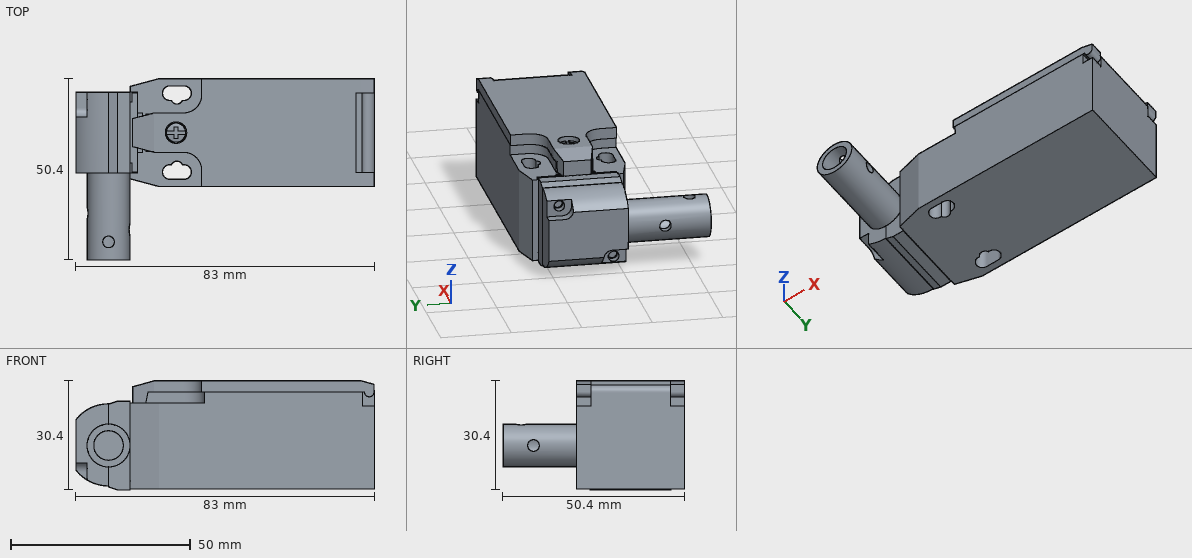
import cadquery as cq
import math

LENGTH = 83.0
HOUSING_WIDTH = 30.05
HOUSING_FRONT = 15.0
HOUSING_BOTTOM = 0.25
DECK_TOP = 24.2
SEAM = 27.2
TAPER_END = 23.1
FRONT_HALF_WIDTH = 12.9
WALL_TANGENT_Y = 10.5
RISER_HALF_WIDTH = 5.2
RISER_SHOULDER = 35.7
RISER_FOOT = 19.4
RISER_LIP = 20.0

SLOT_CENTER_X = 28.05
SLOT_CENTER_Y = 10.95
SLOT_LENGTH = 8.0
SLOT_WIDTH = 4.0
SLOT_BULGE_DIAMETER = 3.3
SLOT_BULGE_Y = 9.6

COVER_TOP = 30.4
COVER_END = 82.8
COVER_SHOULDER = 34.95
TONGUE_HALF_WIDTH = 5.5
NOSE_FRONT = 15.8
NOSE_HALF_WIDTH = 3.9
NOSE_TOP = 28.7
NOSE_SLOPE_END = 21.75
BACK_SLOPE_START = 79.3
BACK_SLOPE_END_Z = 29.4

HINGE_HALF_WIDTH = 11.0
HINGE_WINDOW_FRONT = 77.85
HINGE_NOTCH_FRONT = 79.6
HINGE_NOTCH_FLOOR = 23.3
KNUCKLE_RADIUS = 1.3
LIP_CREST_X = 80.85
LIP_RISE_RADIUS = 1.4
LIP_CREST_Z = 29.2
LIP_FALL_RADIUS = 2.15

COVER_SCREW_X = 27.8
COVER_SCREW_BORE = 6.0
COVER_SCREW_HEAD = 5.3
COVER_SCREW_SHANK = 3.3
COVER_SCREW_SEAT = 28.4
COVER_SCREW_RIM = 29.2
COVER_SCREW_CROWN = 29.55
COVER_SCREW_TIP = 18.3
CROSS_WIDTH = 1.0
CROSS_SHORT = 3.2
CROSS_FLOOR = 28.9

HEAD_WIDTH = 22.5
BASE_TOP = 24.7
HEAD_AXIS_Z = BASE_TOP / 2
HEAD_SPLIT = 9.05
BASE_FLAT_START = 11.5
BASE_SPLIT_HALF_HEIGHT = 11.5
CAP_AXIS_Z = 12.5
CAP_RADIUS = 11.45
PLUG_END = 17.1
PLUG_BOTTOM = 2.5
PLUG_CLEARANCE = 0.25
NECK_END = 15.5
NECK_HALF_WIDTH = 8.5
RELIEF_END = 18.5
RELIEF_DEPTH = 0.25

POCKET_DEPTH = 3.1
POCKET_WIDTH = 7.0
POCKET_RADIUS = 2.5
POCKET_FLOOR_HEIGHT = 5.1
HEAD_SCREW_Y = 7.7
HEAD_SCREW_HEIGHT = 8.05
HEAD_SCREW_BORE = 3.0
HEAD_SCREW_DIAMETER = 2.6
HEAD_SCREW_FACE = 5.4
HEAD_SCREW_TIP = 12.45

SHAFT_END = -35.4
SHAFT_DIAMETER = 11.95
JOURNAL_DIAMETER = 10.0
JOURNAL_END = 6.6
SHAFT_BORE = 8.2
SHAFT_BORE_END = -19.9
PIN_HOLE = 3.2
PIN_HOLE_FRONT_Y = -22.4
PIN_HOLE_BACK_Y = -27.0
PIN_HOLE_TOP_Y = -30.4

HALF_WIDTH = HOUSING_WIDTH / 2
HEAD_HALF_WIDTH = HEAD_WIDTH / 2


def block(x_min, x_max, y_min, y_max, z_min, z_max):
    size = (x_max - x_min, y_max - y_min, z_max - z_min)
    return cq.Workplane("XY").box(*size, centered=False).translate((x_min, y_min, z_min))


def side_profile(half_width):
    """Workplane in X and Z, ready to extrude from +half_width to -half_width in Y."""
    return cq.Workplane("XZ", origin=(0, half_width, 0))


def rod(x, y, diameter, z_min, z_max):
    return cq.Workplane("XY", origin=(x, y, z_min)).circle(diameter / 2).extrude(z_max - z_min)


def rod_x(y, z, diameter, x_min, x_max):
    return cq.Workplane("YZ", origin=(x_min, y, z)).circle(diameter / 2).extrude(x_max - x_min)


def rod_y(x, z, diameter, y_min, y_max):
    return cq.Workplane("XZ", origin=(x, y_max, z)).circle(diameter / 2).extrude(y_max - y_min)


def tongue_outline(front, front_half, taper_end, half_width, shoulder, back):
    """Plan outline: a central tongue that widens through concave corners to the full width."""
    radius = WALL_TANGENT_Y - half_width
    near_mid = radius * (1 - math.sqrt(0.5))
    return (
        cq.Workplane("XY")
        .moveTo(front, -front_half)
        .lineTo(taper_end, -half_width)
        .lineTo(shoulder - radius, -half_width)
        .threePointArc((shoulder - near_mid, -half_width - near_mid), (shoulder, -WALL_TANGENT_Y))
        .lineTo(shoulder, -HALF_WIDTH)
        .lineTo(back, -HALF_WIDTH)
        .lineTo(back, HALF_WIDTH)
        .lineTo(shoulder, HALF_WIDTH)
        .lineTo(shoulder, WALL_TANGENT_Y)
        .threePointArc((shoulder - near_mid, half_width + near_mid), (shoulder - radius, half_width))
        .lineTo(taper_end, half_width)
        .lineTo(front, front_half)
        .close()
    )


def riser_side(front_bottom, front_top, back):
    """Block over the full width from the deck to the seam, with a sloped front."""
    return (
        side_profile(HALF_WIDTH)
        .polyline([(front_bottom, DECK_TOP), (back, DECK_TOP), (back, SEAM), (front_top, SEAM)])
        .close()
        .extrude(HOUSING_WIDTH)
    )


def mounting_slot(side):
    slot = (
        cq.Workplane("XY", origin=(SLOT_CENTER_X, side * SLOT_CENTER_Y, HOUSING_BOTTOM))
        .slot2D(SLOT_LENGTH, SLOT_WIDTH)
        .extrude(DECK_TOP - HOUSING_BOTTOM)
    )
    bulge = rod(SLOT_CENTER_X, side * SLOT_BULGE_Y, SLOT_BULGE_DIAMETER, HOUSING_BOTTOM, DECK_TOP)
    return slot.union(bulge)


def hinge_lip():
    """Rounded lip at the back of the housing that shows through the window in the cover."""
    start = LIP_CREST_X - LIP_RISE_RADIUS
    rise = LIP_RISE_RADIUS * math.sqrt(0.5)
    fall = LIP_FALL_RADIUS * math.sqrt(0.5)
    rise_z = LIP_CREST_Z - LIP_RISE_RADIUS
    fall_z = LIP_CREST_Z - LIP_FALL_RADIUS
    return (
        side_profile(HINGE_HALF_WIDTH)
        .moveTo(start, HINGE_NOTCH_FLOOR)
        .lineTo(start, rise_z)
        .threePointArc((LIP_CREST_X - rise, rise_z + rise), (LIP_CREST_X, LIP_CREST_Z))
        .threePointArc((LIP_CREST_X + fall, fall_z + fall), (LENGTH, fall_z))
        .lineTo(LENGTH, HINGE_NOTCH_FLOOR)
        .close()
        .extrude(2 * HINGE_HALF_WIDTH)
    )


def make_housing():
    body = (
        cq.Workplane("XY", origin=(0, 0, HOUSING_BOTTOM))
        .polyline([
            (HOUSING_FRONT, -FRONT_HALF_WIDTH),
            (TAPER_END, -HALF_WIDTH),
            (LENGTH, -HALF_WIDTH),
            (LENGTH, HALF_WIDTH),
            (TAPER_END, HALF_WIDTH),
            (HOUSING_FRONT, FRONT_HALF_WIDTH),
        ])
        .close()
        .extrude(DECK_TOP - HOUSING_BOTTOM)
    )
    riser = tongue_outline(
        RISER_FOOT, RISER_HALF_WIDTH, RISER_LIP, RISER_HALF_WIDTH, RISER_SHOULDER, LENGTH
    ).extrude(SEAM)
    body = body.union(riser.intersect(riser_side(RISER_FOOT, RISER_LIP, LENGTH)))

    body = body.cut(block(HINGE_NOTCH_FRONT, LENGTH, -HALF_WIDTH, HALF_WIDTH, HINGE_NOTCH_FLOOR, SEAM))
    body = body.union(hinge_lip())

    for side in (-1, 1):
        body = body.cut(mounting_slot(side))

    body = body.cut(
        block(HOUSING_FRONT, PLUG_END, -HEAD_HALF_WIDTH, HEAD_HALF_WIDTH, PLUG_BOTTOM, DECK_TOP)
    )
    body = body.cut(
        block(PLUG_END, RELIEF_END, -TONGUE_HALF_WIDTH, TONGUE_HALF_WIDTH, DECK_TOP - RELIEF_DEPTH, DECK_TOP)
    )
    return body.cut(rod(COVER_SCREW_X, 0, COVER_SCREW_SHANK, COVER_SCREW_TIP, SEAM))


def make_cover():
    side = (
        side_profile(HALF_WIDTH)
        .polyline([
            (NOSE_FRONT, DECK_TOP),
            (RISER_FOOT, DECK_TOP),
            (RISER_LIP, SEAM),
            (COVER_END, SEAM),
            (COVER_END, BACK_SLOPE_END_Z),
            (BACK_SLOPE_START, COVER_TOP),
            (NOSE_SLOPE_END, COVER_TOP),
            (NOSE_FRONT, NOSE_TOP),
        ])
        .close()
        .extrude(HOUSING_WIDTH)
    )
    plan = tongue_outline(
        NOSE_FRONT, NOSE_HALF_WIDTH, NOSE_SLOPE_END, TONGUE_HALF_WIDTH, COVER_SHOULDER, COVER_END
    ).extrude(COVER_TOP)
    cover = side.intersect(plan)

    knuckle = rod_y(COVER_END - KNUCKLE_RADIUS, SEAM, 2 * KNUCKLE_RADIUS, -HALF_WIDTH, HALF_WIDTH)
    cover = cover.union(knuckle)
    window = block(
        HINGE_WINDOW_FRONT, LENGTH, -HINGE_HALF_WIDTH, HINGE_HALF_WIDTH, HINGE_NOTCH_FLOOR, COVER_TOP
    )
    cover = cover.cut(window)

    cover = cover.cut(rod(COVER_SCREW_X, 0, COVER_SCREW_BORE, COVER_SCREW_SEAT, COVER_TOP))
    return cover.cut(rod(COVER_SCREW_X, 0, COVER_SCREW_SHANK, SEAM, COVER_SCREW_SEAT))


def make_cover_screw():
    """Screw with a domed head and a crossed slot, one bar reaching right across the head."""
    head_radius = COVER_SCREW_HEAD / 2
    shank_radius = COVER_SCREW_SHANK / 2
    crown_rise = COVER_SCREW_CROWN - COVER_SCREW_RIM
    dome_radius = (head_radius**2 + crown_rise**2) / (2 * crown_rise)
    mid_radius = head_radius / 2
    mid_z = COVER_SCREW_CROWN - dome_radius + math.sqrt(dome_radius**2 - mid_radius**2)
    screw = (
        cq.Workplane("XZ", origin=(COVER_SCREW_X, 0, 0))
        .moveTo(0, COVER_SCREW_TIP)
        .lineTo(shank_radius, COVER_SCREW_TIP)
        .lineTo(shank_radius, COVER_SCREW_SEAT)
        .lineTo(head_radius, COVER_SCREW_SEAT)
        .lineTo(head_radius, COVER_SCREW_RIM)
        .threePointArc((mid_radius, mid_z), (0, COVER_SCREW_CROWN))
        .close()
        .revolve(360, (0, 0, 0), (0, 1, 0))
    )
    for length_x, length_y in ((COVER_SCREW_HEAD, CROSS_WIDTH), (CROSS_WIDTH, CROSS_SHORT)):
        bar = (
            cq.Workplane("XY", origin=(COVER_SCREW_X, 0, CROSS_FLOOR))
            .rect(length_x, length_y)
            .extrude(COVER_SCREW_CROWN - CROSS_FLOOR)
        )
        screw = screw.cut(bar)
    return screw


def journal():
    return rod_y(HEAD_SPLIT, HEAD_AXIS_Z, JOURNAL_DIAMETER, -HEAD_HALF_WIDTH, JOURNAL_END)


def head_screw(side):
    """Screw in the upper +Y corner (side = 1) or the lower -Y corner (side = -1)."""
    z = CAP_AXIS_Z + side * HEAD_SCREW_HEIGHT
    return rod_x(side * HEAD_SCREW_Y, z, HEAD_SCREW_DIAMETER, HEAD_SCREW_FACE, HEAD_SCREW_TIP)


def head_screw_pocket(side):
    """Corner pocket, open to the outside, with the bore down to the screw."""
    y_inner = side * (HEAD_HALF_WIDTH - POCKET_WIDTH)
    y_outer = side * HEAD_HALF_WIDTH
    z_inner = CAP_AXIS_Z + side * POCKET_FLOOR_HEIGHT
    z_outer = CAP_AXIS_Z + side * CAP_RADIUS
    bend = POCKET_RADIUS * (1 - math.sqrt(0.5))
    pocket = (
        cq.Workplane("YZ")
        .moveTo(y_outer, z_inner)
        .lineTo(y_inner + side * POCKET_RADIUS, z_inner)
        .threePointArc(
            (y_inner + side * bend, z_inner + side * bend),
            (y_inner, z_inner + side * POCKET_RADIUS),
        )
        .lineTo(y_inner, z_outer)
        .lineTo(y_outer, z_outer)
        .close()
        .extrude(POCKET_DEPTH)
    )
    z = CAP_AXIS_Z + side * HEAD_SCREW_HEIGHT
    return pocket.union(rod_x(side * HEAD_SCREW_Y, z, HEAD_SCREW_BORE, 0, HEAD_SCREW_FACE))


def make_head_cap():
    """Front half of the head, rounded about an axis in the split plane, with a flat front."""
    cap = rod_y(HEAD_SPLIT, CAP_AXIS_Z, 2 * CAP_RADIUS, -HEAD_HALF_WIDTH, HEAD_HALF_WIDTH)
    cap = cap.intersect(block(0, HEAD_SPLIT, -HEAD_HALF_WIDTH, HEAD_HALF_WIDTH, 0, BASE_TOP))
    for side in (-1, 1):
        cap = cap.cut(head_screw_pocket(side)).cut(head_screw(side))
    return cap.cut(journal())


def make_head_base():
    """Rear half of the head, with a plug that sits in the front of the housing."""
    split_top = HEAD_AXIS_Z + BASE_SPLIT_HALF_HEIGHT
    split_bottom = HEAD_AXIS_Z - BASE_SPLIT_HALF_HEIGHT
    base = (
        side_profile(HEAD_HALF_WIDTH)
        .polyline([
            (HEAD_SPLIT, split_bottom),
            (BASE_FLAT_START, 0),
            (HOUSING_FRONT, 0),
            (HOUSING_FRONT, BASE_TOP),
            (BASE_FLAT_START, BASE_TOP),
            (HEAD_SPLIT, split_top),
        ])
        .close()
        .extrude(HEAD_WIDTH)
    )
    plug_half = HEAD_HALF_WIDTH - PLUG_CLEARANCE
    base = base.union(
        block(HOUSING_FRONT, NECK_END, -NECK_HALF_WIDTH, NECK_HALF_WIDTH, PLUG_BOTTOM, DECK_TOP)
    )
    base = base.union(block(NECK_END, PLUG_END, -plug_half, plug_half, PLUG_BOTTOM, DECK_TOP))
    for side in (-1, 1):
        base = base.cut(head_screw(side))
    return base.cut(journal())


def make_shaft():
    """Shaft with a narrower journal in the head and a bored outer end with pin holes."""
    shaft = journal().union(
        rod_y(HEAD_SPLIT, HEAD_AXIS_Z, SHAFT_DIAMETER, SHAFT_END, -HEAD_HALF_WIDTH)
    )
    shaft = shaft.cut(rod_y(HEAD_SPLIT, HEAD_AXIS_Z, SHAFT_BORE, SHAFT_END, SHAFT_BORE_END))
    radius = SHAFT_DIAMETER / 2
    shaft = shaft.cut(rod_x(PIN_HOLE_FRONT_Y, HEAD_AXIS_Z, PIN_HOLE, HEAD_SPLIT - radius, HEAD_SPLIT))
    shaft = shaft.cut(rod_x(PIN_HOLE_BACK_Y, HEAD_AXIS_Z, PIN_HOLE, HEAD_SPLIT, HEAD_SPLIT + radius))
    return shaft.cut(rod(HEAD_SPLIT, PIN_HOLE_TOP_Y, PIN_HOLE, HEAD_AXIS_Z, HEAD_AXIS_Z + radius))


housing = make_housing()
cover = make_cover()
cover_screw = make_cover_screw()
head_cap = make_head_cap()
head_base = make_head_base()
shaft = make_shaft()
head_screws = [head_screw(side) for side in (-1, 1)]

result = cq.Compound.makeCompound([
    housing.val(),
    cover.val(),
    cover_screw.val(),
    head_cap.val(),
    head_base.val(),
    shaft.val(),
    *[screw.val() for screw in head_screws],
])